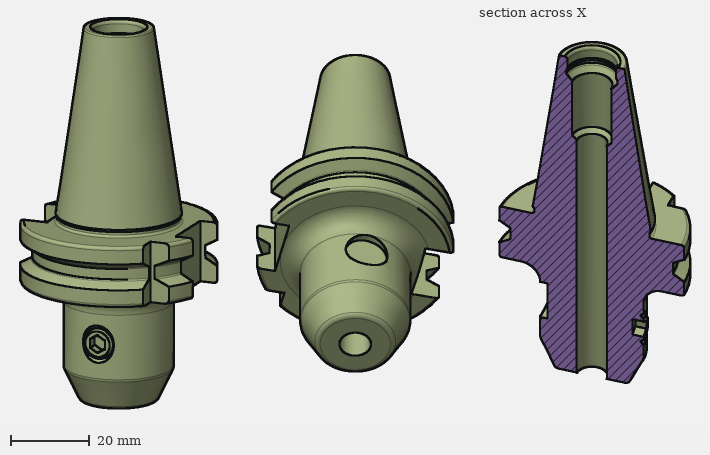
import cadquery as cq
import math


taper_ratio = 7 / 24
gauge_dia = 31.75
taper_top_z = 47.8
taper_low_z = -1.1
taper_top_fillet = 0.4
relief_radius = 15.6
relief_top_z = -1.8
relief_corner_fillet = 0.65

flange_radius = 25.0
flange_top_z = -3.2
flange_bottom_z = -19.1
flange_edge_fillet = 0.9
groove_center_z = -11.1
groove_floor_radius = 21.95
groove_floor_width = 3.3
groove_flank_angle = 30
groove_floor_fillet = 0.5

nose_radius = 14.0
nose_neck_fillet = 5.0
nose_cone_top_z = -41.4
nose_cone_fillet = 1.5
nose_tip_radius = 9.85
nose_bottom_z = -50.0
nose_tip_fillet = 1.5

slot_width = 16.1
left_slot_x = -16.4
right_slot_x = 19.0
notch_x = 15.0
notch_y = -15.0

bore_radius = 4.0
mouth_radius = 7.25
mouth_depth = 0.98
counterbore_radius = 6.5
counterbore_depth = 3.4
undercut_radius = 6.9
undercut_top_depth = 4.4
undercut_bottom_depth = 5.2
undercut_end_depth = 5.65
pilot_radius = 5.25
pilot_top_depth = 7.2
pilot_bottom_depth = 24.0
pilot_end_depth = pilot_bottom_depth + pilot_radius - bore_radius

screw_z = -32.0
screw_radius = 4.0
screw_chamfer = 0.65
screw_sink_radius = 4.88
hex_across_flats = 4.0
hex_depth = 3.0
screw_length = 8.0

balance_z = -29.6
balance_radius = 5.4
balance_floor_y = 12.0


def taper_radius(z):
    """Radius of the steep taper at height z."""
    return (gauge_dia - taper_ratio * z) / 2


def make_taper():
    """Steep taper with the relief above the flange."""
    profile = [
        (0, flange_bottom_z),
        (relief_radius, flange_bottom_z),
        (relief_radius, relief_top_z),
        (taper_radius(taper_low_z), taper_low_z),
        (taper_radius(taper_top_z), taper_top_z),
        (0, taper_top_z),
    ]
    taper = cq.Workplane("XZ").polyline(profile).close().revolve(360, (0, 0), (0, 1))
    return taper.faces(">Z").edges().fillet(taper_top_fillet)


def make_flange():
    """Flange disc with rounded rims and the V groove around it."""
    disc = (
        cq.Workplane("XY")
        .workplane(offset=flange_bottom_z)
        .circle(flange_radius)
        .extrude(flange_top_z - flange_bottom_z)
        .edges()
        .fillet(flange_edge_fillet)
    )
    floor_half = groove_floor_width / 2
    groove_depth = flange_radius - groove_floor_radius
    mouth_half = floor_half + groove_depth * math.tan(math.radians(groove_flank_angle))
    profile = [
        (groove_floor_radius, groove_center_z - floor_half),
        (flange_radius, groove_center_z - mouth_half),
        (flange_radius, groove_center_z + mouth_half),
        (groove_floor_radius, groove_center_z + floor_half),
    ]
    groove = cq.Workplane("XZ").polyline(profile).close().revolve(360, (0, 0), (0, 1))
    inner_rims = cq.selectors.RadiusNthSelector(0)
    groove = groove.edges(inner_rims).fillet(groove_floor_fillet)
    return disc.cut(groove)


def make_nose():
    """Cylinder and cone below the flange, with rounded shoulder and tip."""
    profile = [
        (0, flange_bottom_z),
        (nose_radius, flange_bottom_z),
        (nose_radius, nose_cone_top_z),
        (nose_tip_radius, nose_bottom_z),
        (0, nose_bottom_z),
    ]
    nose = cq.Workplane("XZ").polyline(profile).close().revolve(360, (0, 0), (0, 1))
    shoulder = cq.selectors.BoxSelector(
        (-flange_radius, -flange_radius, nose_cone_top_z - 1),
        (flange_radius, flange_radius, nose_cone_top_z + 1),
    )
    nose = nose.edges("%CIRCLE").edges(shoulder).fillet(nose_cone_fillet)
    return nose.faces("<Z").edges().fillet(nose_tip_fillet)


def make_concave_ring(radius, face_z, blend, side):
    """Solid disc whose concave rim runs tangent from a shaft to a flange face.

    side is +1 for a shaft above the face and -1 for a shaft below it.
    """
    outer = radius + blend
    far_z = face_z + side * blend
    diagonal = blend * math.sqrt(0.5)
    return (
        cq.Workplane("XZ")
        .moveTo(0, far_z)
        .lineTo(radius, far_z)
        .threePointArc((outer - diagonal, far_z - side * diagonal), (outer, face_z))
        .lineTo(0, face_z)
        .close()
        .revolve(360, (0, 0), (0, 1))
    )


def make_corner_box(x_from, x_to, y_from, y_to):
    """Box cutter reaching from the flange top to the end of the neck blend."""
    bottom = flange_bottom_z - nose_neck_fillet
    size = (x_to - x_from, y_to - y_from, flange_top_z - bottom)
    return cq.Workplane("XY").box(*size, centered=False).translate((x_from, y_from, bottom))


def make_flange_cutters():
    """Two drive slots of different depth and the orientation notch."""
    half = slot_width / 2
    left = make_corner_box(-flange_radius, left_slot_x, -half, half)
    right = make_corner_box(right_slot_x, flange_radius, -half, half)
    notch = make_corner_box(notch_x, flange_radius, -flange_radius, notch_y)
    return left.union(right).union(notch)


def make_bore():
    """Stepped bore along the whole axis, with a rounded mouth and an undercut."""
    lip = counterbore_radius - mouth_radius
    lip_radius = (lip**2 + mouth_depth**2) / (-2 * lip)
    lip_center_x = counterbore_radius + lip_radius
    half_angle = math.asin(mouth_depth / lip_radius) / 2
    lip_middle = (
        lip_center_x - lip_radius * math.cos(half_angle),
        taper_top_z - mouth_depth + lip_radius * math.sin(half_angle),
    )
    steps = [
        (counterbore_radius, counterbore_depth),
        (undercut_radius, undercut_top_depth),
        (undercut_radius, undercut_bottom_depth),
        (counterbore_radius, undercut_end_depth),
        (pilot_radius, pilot_top_depth),
        (pilot_radius, pilot_bottom_depth),
        (bore_radius, pilot_end_depth),
    ]
    outline = (
        cq.Workplane("XZ")
        .moveTo(0, taper_top_z)
        .lineTo(mouth_radius, taper_top_z)
        .threePointArc(lip_middle, (counterbore_radius, taper_top_z - mouth_depth))
    )
    for radius, depth in steps:
        outline = outline.lineTo(radius, taper_top_z - depth)
    outline = outline.lineTo(bore_radius, nose_bottom_z).lineTo(0, nose_bottom_z)
    return outline.close().revolve(360, (0, 0), (0, 1))


def make_screw_sink():
    """Countersink in the nose around the clamping screw."""
    sink_depth = screw_sink_radius - screw_radius
    profile = [
        (0, -nose_radius),
        (screw_sink_radius, -nose_radius),
        (screw_radius, -nose_radius + sink_depth),
        (0, -nose_radius + sink_depth),
    ]
    sink = cq.Workplane("XY").polyline(profile).close().revolve(360, (0, 0), (0, 1))
    return sink.translate((0, 0, screw_z))


def make_screw():
    """Clamping screw with a chamfered flat face, and its hexagon socket."""
    origin = (0, -nose_radius, screw_z)
    screw = (
        cq.Workplane("XZ", origin=origin)
        .circle(screw_radius)
        .extrude(-screw_length)
        .faces("<Y")
        .chamfer(screw_chamfer)
    )
    socket = (
        cq.Workplane("XZ", origin=origin)
        .transformed(rotate=(0, 0, 30))
        .polygon(6, hex_across_flats / math.cos(math.radians(30)))
        .extrude(-hex_depth)
    )
    return screw.cut(socket), socket


def make_balance_recess():
    """Shallow round recess on the side opposite the screw."""
    return (
        cq.Workplane("XZ", origin=(0, balance_floor_y, balance_z))
        .circle(balance_radius)
        .extrude(-(flange_radius - balance_floor_y))
    )


body = make_flange().union(make_taper()).union(make_nose())
body = body.union(make_concave_ring(nose_radius, flange_bottom_z, nose_neck_fillet, -1))
body = body.union(make_concave_ring(relief_radius, flange_top_z, relief_corner_fillet, 1))
body = body.cut(make_flange_cutters()).cut(make_bore())
screw, socket = make_screw()
body = body.cut(make_screw_sink()).cut(socket).union(screw)
result = body.cut(make_balance_recess())